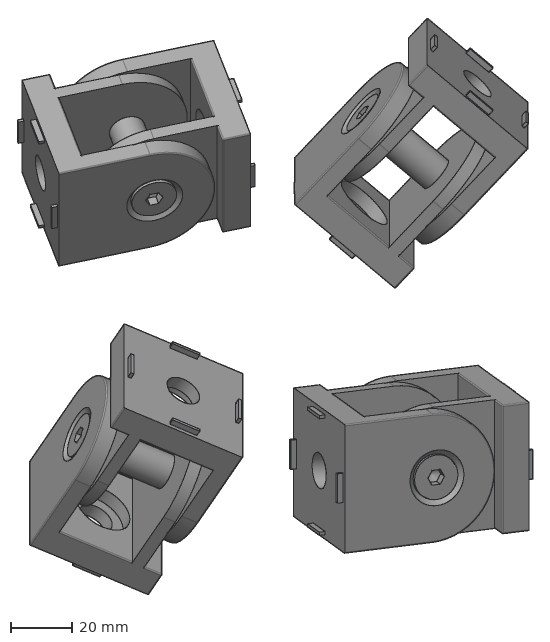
import cadquery as cq
import math

WIDTH = 44.0
HALF_WIDTH = WIDTH / 2
OVERALL_LENGTH = 69.0

TAB_LENGTH = 10.0
TAB_THICKNESS = 1.1
TAB_HEIGHT = 2.0
TAB_OFFSET = 19.95

BASE_FACE_Y = OVERALL_LENGTH / 2 - TAB_HEIGHT
BASE_THICKNESS = 9.45
BASE_INNER_Y = BASE_FACE_Y - BASE_THICKNESS
OUTER_ARM_INNER_X = 16.0
INNER_ARM_OUTER_X = 15.3
INNER_ARM_INNER_X = 11.0
ARM_ROUND_CENTER_Y = 1.6
EDGE_RADIUS = 0.4

BASE_HOLE_DIAMETER = 12.0
BASE_COUNTERBORE_DIAMETER = 20.0
BASE_COUNTERBORE_DEPTH = BASE_THICKNESS / 2

PIN_DIAMETER = 12.0
PIN_LENGTH = 2 * OUTER_ARM_INNER_X

COUNTERSINK_DIAMETER = 19.0
COUNTERSINK_ANGLE = 90.0
HEAD_DIAMETER = 15.25
HEAD_RECESS = 0.6
SHANK_DIAMETER = 8.0
SHANK_DEPTH_IN_PIN = 10.0
HEX_ACROSS_FLATS = 5.05
HEX_DEPTH = 3.05
HEX_POINT_ANGLE = 120.0

HEX_CORNER_DIAMETER = HEX_ACROSS_FLATS / math.cos(math.pi / 6)
CONE_SLOPE = math.tan(math.radians(COUNTERSINK_ANGLE / 2))
HEAD_SEAT_DEPTH = (COUNTERSINK_DIAMETER - HEAD_DIAMETER) / 2 / CONE_SLOPE
CONE_END_DEPTH = (COUNTERSINK_DIAMETER - SHANK_DIAMETER) / 2 / CONE_SLOPE
SHANK_END_DEPTH = HALF_WIDTH - OUTER_ARM_INNER_X + SHANK_DEPTH_IN_PIN


def cylinder_along_x(diameter, x_start, x_end):
    return cq.Workplane("YZ", origin=(x_start, 0, 0)).circle(diameter / 2).extrude(x_end - x_start)


def arm(x_start, x_end):
    """Plate from inside the base to a round tip past the pivot axis."""
    root_y = BASE_FACE_Y - BASE_THICKNESS / 2
    tip_y = ARM_ROUND_CENTER_Y - HALF_WIDTH
    return (
        cq.Workplane("YZ", origin=(x_start, 0, 0))
        .moveTo(root_y, HALF_WIDTH)
        .lineTo(ARM_ROUND_CENTER_Y, HALF_WIDTH)
        .threePointArc((tip_y, 0), (ARM_ROUND_CENTER_Y, -HALF_WIDTH))
        .lineTo(root_y, -HALF_WIDTH)
        .close()
        .extrude(x_end - x_start)
    )


def base_plate():
    """Square plate with rounded edges, except around its outer face."""
    plate = cq.Workplane("XY").box(WIDTH, BASE_THICKNESS, WIDTH)
    plate = plate.translate((0, BASE_FACE_Y - BASE_THICKNESS / 2, 0))
    return plate.edges("|Y or <Y").fillet(EDGE_RADIUS)


def outer_arm():
    """Arm flush with the -X side, its outer edges rounded along the sides and tip."""
    blank = arm(-HALF_WIDTH, -OUTER_ARM_INNER_X)
    return blank.faces("<X").edges("not(>Y)").fillet(EDGE_RADIUS)


def base_bore():
    """Through hole from the outer face, widened from the inner face."""
    face = cq.Workplane("XZ", origin=(0, BASE_FACE_Y, 0))
    step = cq.Workplane("XZ", origin=(0, BASE_INNER_Y + BASE_COUNTERBORE_DEPTH, 0))
    hole = face.circle(BASE_HOLE_DIAMETER / 2).extrude(BASE_THICKNESS)
    counterbore = step.circle(BASE_COUNTERBORE_DIAMETER / 2).extrude(BASE_COUNTERBORE_DEPTH)
    return hole.union(counterbore)


def tabs():
    """Four tabs, one along each side of the base's outer face."""
    tab = cq.Workplane("XY").box(TAB_LENGTH, TAB_HEIGHT, TAB_THICKNESS)
    tab = tab.translate((0, BASE_FACE_Y + TAB_HEIGHT / 2, TAB_OFFSET))
    return [tab.rotate((0, 0, 0), (0, 1, 0), 90 * i) for i in range(4)]


def countersunk_hole():
    """Screw clearance through the outer arm on the -X side."""
    return (
        cq.Workplane("XY")
        .moveTo(-HALF_WIDTH, 0)
        .lineTo(-HALF_WIDTH, COUNTERSINK_DIAMETER / 2)
        .lineTo(CONE_END_DEPTH - HALF_WIDTH, SHANK_DIAMETER / 2)
        .lineTo(-OUTER_ARM_INNER_X, SHANK_DIAMETER / 2)
        .lineTo(-OUTER_ARM_INNER_X, 0)
        .close()
        .revolve(360, (0, 0, 0), (1, 0, 0))
    )


def make_fork():
    """Fork on the +Y side, with its outer arm at -X."""
    fork = base_plate().union(outer_arm()).union(arm(INNER_ARM_INNER_X, INNER_ARM_OUTER_X))
    for tab in tabs():
        fork = fork.union(tab)
    pin_hole = cylinder_along_x(PIN_DIAMETER, INNER_ARM_INNER_X, INNER_ARM_OUTER_X)
    return fork.cut(base_bore()).cut(countersunk_hole()).cut(pin_hole)


def make_pin():
    """Plain pin with a screw hole in each end."""
    half_length = PIN_LENGTH / 2
    pin = cylinder_along_x(PIN_DIAMETER, -half_length, half_length)
    for side in (-1, 1):
        hole_end = side * (half_length - SHANK_DEPTH_IN_PIN)
        pin = pin.cut(cylinder_along_x(SHANK_DIAMETER, hole_end, side * half_length))
    return pin


def hex_socket():
    """Hexagonal recess with a conical bottom in the -X face of the screw head."""
    face_x = HEAD_RECESS - HALF_WIDTH
    corner_radius = HEX_CORNER_DIAMETER / 2
    point_depth = corner_radius / math.tan(math.radians(HEX_POINT_ANGLE / 2))
    prism = cq.Workplane("YZ", origin=(face_x, 0, 0)).polygon(6, HEX_CORNER_DIAMETER)
    prism = prism.extrude(HEX_DEPTH + point_depth)
    pointed_bore = (
        cq.Workplane("XY")
        .moveTo(face_x, 0)
        .lineTo(face_x, corner_radius)
        .lineTo(face_x + HEX_DEPTH, corner_radius)
        .lineTo(face_x + HEX_DEPTH + point_depth, 0)
        .close()
        .revolve(360, (0, 0, 0), (1, 0, 0))
    )
    return prism.intersect(pointed_bore)


def make_screw():
    """Screw at the -X end, its conical head seated in the countersink."""
    blank = (
        cq.Workplane("XY")
        .moveTo(HEAD_RECESS - HALF_WIDTH, 0)
        .lineTo(HEAD_RECESS - HALF_WIDTH, HEAD_DIAMETER / 2)
        .lineTo(HEAD_SEAT_DEPTH - HALF_WIDTH, HEAD_DIAMETER / 2)
        .lineTo(CONE_END_DEPTH - HALF_WIDTH, SHANK_DIAMETER / 2)
        .lineTo(SHANK_END_DEPTH - HALF_WIDTH, SHANK_DIAMETER / 2)
        .lineTo(SHANK_END_DEPTH - HALF_WIDTH, 0)
        .close()
        .revolve(360, (0, 0, 0), (1, 0, 0))
    )
    return blank.cut(hex_socket())


def both_ends(body):
    """The body and its copy turned half a turn about Z."""
    return [body.rotate((0, 0, 0), (0, 0, 1), angle).val() for angle in (0, 180)]


forks = both_ends(make_fork())
pin = make_pin().val()
screws = both_ends(make_screw())

result = cq.Compound.makeCompound([*forks, pin, *screws])